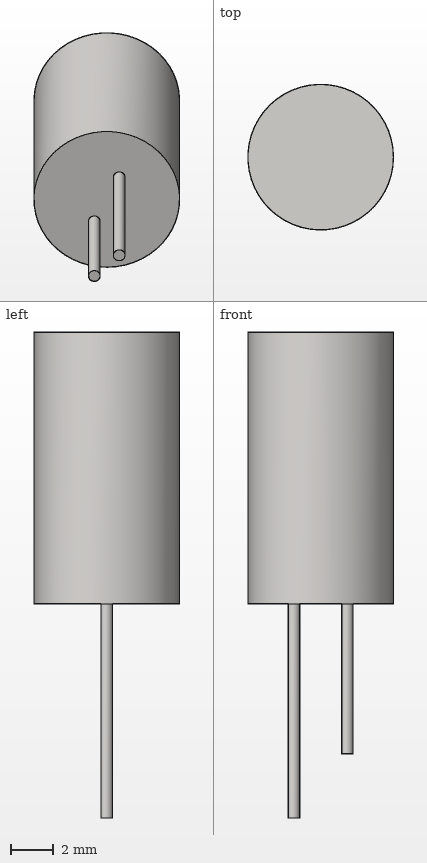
import cadquery as cq

total_height = 22.7
can_diameter = 6.8
can_height = 12.7

lead_diameter = 0.55
lead_spacing = 2.5
long_lead_length = total_height - can_height
short_lead_length = 7.01


def make_can():
    """Plain cylindrical can standing on the plane Z = 0."""
    return cq.Workplane("XY").circle(can_diameter / 2).extrude(can_height)


def make_lead(x_position, length):
    """Round wire lead hanging down from the underside of the can."""
    return cq.Workplane("XY").center(x_position, 0).circle(lead_diameter / 2).extrude(-length)


can = make_can()

lead_layout = [
    (-lead_spacing / 2, long_lead_length),
    (lead_spacing / 2, short_lead_length),
]
leads = []
for x_position, length in lead_layout:
    leads.append(make_lead(x_position, length).val())

result = cq.Compound.makeCompound([can.val(), *leads])